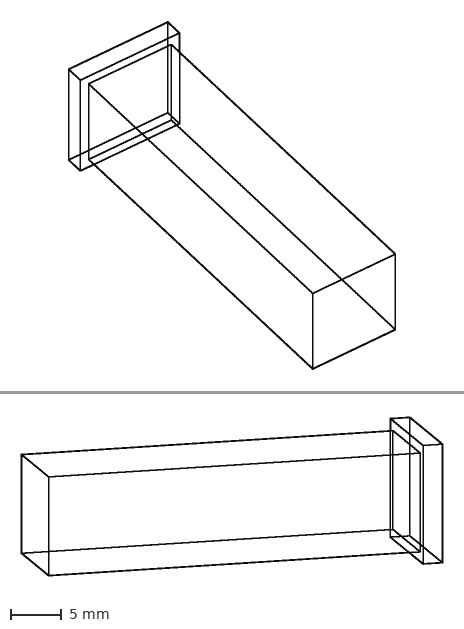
import cadquery as cq

total_length = 40.0
flange_side = 12.0
flange_thickness = 2.0
shank_side = 10.0

flange = cq.Workplane("YZ").rect(flange_side, flange_side).extrude(flange_thickness)

shank = cq.Workplane("YZ").rect(shank_side, shank_side).extrude(total_length)

result = flange.union(shank)